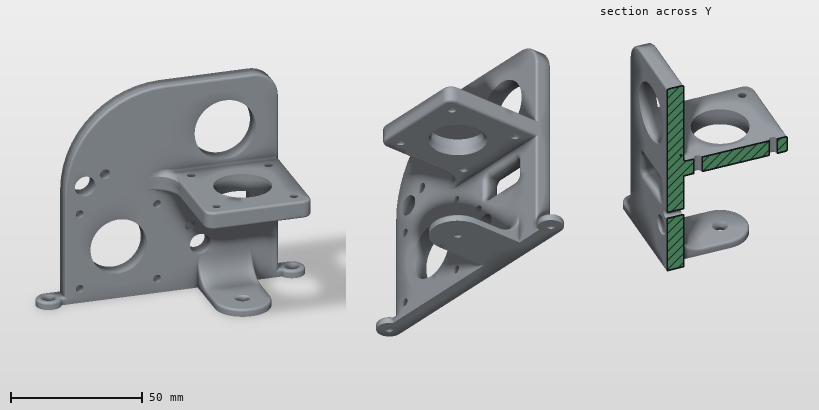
import cadquery as cq
import math

panel = 85.4
thickness = 7.0
edge_round = 1.0
web_radius = 10.0
half = panel / 2
quarter = panel / 4
root_x = thickness / 2

small_corner = 10.0
large_corner = 40.0
bearing_hole = 24.4
motor_hole = 22.4
motor_screw = 3.2
motor_pitch = 31.0
rod_hole = 8.2
clamp_hole = 4.0
rod_pairs = [
    ((-half + 8.0, 48.0), (-half + 16.0, 52.0)),
    ((quarter - 10.0, 18.0), (quarter - 14.0, 26.0)),
]
window_width = 20.0
window_height = 10.0
window_corner = 2.0
window_round = 2.0
window_z = 33.65

shelf_bottom = 42.6
shelf_top = shelf_bottom + thickness
shelf_corner = 4.0
blend_steps = 8
axis_x = thickness + quarter

base_height = 3.0
foot_radius = 11.0
ear_radius = 5.0
ear_reach = 6.0
ear_y = half + ear_reach
screw_hole = 3.0
screw_head = 6.2
head_angle = 90


def arc_point(center, radius, degrees):
    """Point on a circle at the given angle."""
    angle = math.radians(degrees)
    return (center[0] + radius * math.cos(angle), center[1] + radius * math.sin(angle))


def motor_screws(center_u, center_v):
    """Four screw centres on a square around a motor axis."""
    offset = motor_pitch / 2
    return [(center_u + i * offset, center_v + j * offset) for i in (-1, 1) for j in (-1, 1)]


def make_upright():
    """Panel in the YZ plane with two unequal round top corners and rounded edges."""
    large_center = (-half + large_corner, panel - large_corner)
    small_center = (half - small_corner, panel - small_corner)
    body = (
        cq.Workplane("YZ")
        .moveTo(-half, 0)
        .lineTo(half, 0)
        .lineTo(half, small_center[1])
        .threePointArc(arc_point(small_center, small_corner, 45), (small_center[0], panel))
        .lineTo(large_center[0], panel)
        .threePointArc(arc_point(large_center, large_corner, 135), (-half, large_center[1]))
        .close()
        .extrude(thickness)
    )
    rims = body.faces("<X or >X").edges().filter(lambda e: e.Center().z > edge_round)
    return rims.fillet(edge_round)


def make_ear(side):
    """Screw ear that continues the upright beyond its edge; side is +1 or -1 along Y."""
    root_y = half - edge_round
    strip = (
        cq.Workplane("XY", origin=(0, root_y, 0))
        .rect(thickness, ear_y - root_y, centered=False)
        .extrude(base_height)
    )
    boss = cq.Workplane("XY").center(ear_radius, ear_y).circle(ear_radius).extrude(base_height)
    ear = strip.union(boss)
    rim = ear.faces(">Z").edges().filter(lambda e: e.Center().y > root_y + edge_round)
    ear = rim.fillet(edge_round)
    return ear if side > 0 else ear.mirror("XZ")


def make_foot():
    """Round-ended foot that sweeps up into the upright through a large fillet."""
    web_center = (thickness + web_radius, base_height + web_radius)
    tip_x = axis_x + foot_radius
    profile = (
        cq.Workplane("XZ")
        .moveTo(root_x, 0)
        .lineTo(tip_x, 0)
        .lineTo(tip_x, base_height)
        .lineTo(web_center[0], base_height)
        .threePointArc(arc_point(web_center, web_radius, 225), (thickness, web_center[1]))
        .lineTo(root_x, web_center[1])
        .close()
        .extrude(foot_radius, both=True)
    )
    plan = (
        cq.Workplane("XY")
        .moveTo(0, -foot_radius)
        .lineTo(axis_x, -foot_radius)
        .threePointArc((tip_x, 0), (axis_x, foot_radius))
        .lineTo(0, foot_radius)
        .close()
        .extrude(web_center[1])
    )
    foot = profile.intersect(plan)

    def is_rim(middle):
        return middle.x > thickness and middle.z > base_height - edge_round

    rim = foot.edges("not |Y").filter(lambda e: is_rim(e.positionAt(0.5)))
    return rim.fillet(edge_round).translate((0, quarter, 0))


def make_shelf():
    """Motor shelf with rounded outer corners and a curved brace on its Y = 0 side."""
    outer_x = thickness + half
    brace_center = (thickness + web_radius, -web_radius)
    floor = (0, 0, shelf_bottom)
    plate_outline = (
        cq.Workplane("XY", origin=floor)
        .moveTo(root_x, 0)
        .lineTo(outer_x, 0)
        .lineTo(outer_x, half)
        .lineTo(root_x, half)
        .close()
    )
    braced_outline = (
        cq.Workplane("XY", origin=floor)
        .moveTo(root_x, -web_radius)
        .lineTo(thickness, -web_radius)
        .threePointArc(arc_point(brace_center, web_radius, 135), (brace_center[0], 0))
        .lineTo(outer_x, 0)
        .lineTo(outer_x, half)
        .lineTo(root_x, half)
        .close()
    )

    def round_plate(outline, height, rounded_faces):
        plate = outline.extrude(height).edges("|Z and >X").fillet(shelf_corner)
        rims = plate.faces(rounded_faces).edges()
        return rims.filter(lambda e: e.positionAt(0.5).x > thickness).fillet(edge_round)

    body = round_plate(plate_outline, thickness, ">Z or <Z")
    brace = round_plate(braced_outline, thickness - edge_round, "<Z")
    return body.union(brace)


def joint_section(degrees, shelf_leg, upright_leg):
    """Concave fillet section between the rounded shelf edge and the upright.

    The section plane holds the X direction and leans by the given angle from -Y towards +Z
    around the centre line of the shelf edge round. Its local Y points out of the shelf edge.
    """
    lean = math.radians(degrees)
    plane = cq.Plane(
        origin=(thickness, edge_round, shelf_top - edge_round),
        xDir=(1, 0, 0),
        normal=(0, -math.sin(lean), -math.cos(lean)),
    )
    inner_y = edge_round / 2
    return (
        cq.Workplane(plane)
        .moveTo(-edge_round, inner_y)
        .lineTo(shelf_leg, inner_y)
        .lineTo(shelf_leg, edge_round)
        .ellipseArc(shelf_leg, upright_leg, 180, 270, sense=-1)
        .lineTo(-edge_round, edge_round + upright_leg)
        .close()
    )


def make_top_joint():
    """Fillet above the shelf, growing around the shelf edge into the side brace."""
    length = half - 2 * edge_round
    strip = joint_section(90, edge_round, edge_round).extrude(-length)
    growth = web_radius - edge_round
    sections = []
    for step in range(blend_steps + 1):
        share = step / blend_steps
        shelf_leg = edge_round + growth * (1 - share)
        upright_leg = edge_round + growth * (1 - share) ** 3
        sections.append(joint_section(90 * share, shelf_leg, upright_leg).wire().val())
    blend = cq.Workplane(obj=cq.Solid.makeLoft(sections))
    return strip.union(blend)


def is_window_rim(point):
    """True for a point on the window outline."""
    inside_width = abs(point.y - quarter) < window_width / 2 + window_corner
    inside_height = abs(point.z - window_z) < window_height / 2 + window_corner
    return inside_width and inside_height


def cut_window(body):
    """Rectangular window with rounded corners and rounded rims on both faces."""
    window = (
        cq.Workplane("YZ")
        .center(quarter, window_z)
        .rect(window_width, window_height)
        .extrude(thickness)
        .edges("|X")
        .fillet(window_corner)
    )
    body = body.cut(window)
    rims = body.faces("<X or >X").edges().filter(lambda e: is_window_rim(e.Center()))
    return rims.fillet(window_round)


def round_holes(plane, points, diameter):
    """Cutting cylinders of one plate thickness standing on the given plane."""
    return cq.Workplane(plane).pushPoints(points).circle(diameter / 2).extrude(thickness)


def drill_upright(body):
    """Bearing, motor, rod and clamp holes along X."""
    plane = cq.Plane.YZ()
    body = body.cut(round_holes(plane, [(quarter, half + quarter)], bearing_hole))
    body = body.cut(round_holes(plane, [(-quarter, quarter)], motor_hole))
    body = body.cut(round_holes(plane, motor_screws(-quarter, quarter), motor_screw))
    body = body.cut(round_holes(plane, [rod for rod, clamp in rod_pairs], rod_hole))
    return body.cut(round_holes(plane, [clamp for rod, clamp in rod_pairs], clamp_hole))


def drill_shelf(body):
    """Motor opening and its four screw holes along Z."""
    plane = cq.Plane.XY(origin=(0, 0, shelf_bottom))
    body = body.cut(round_holes(plane, [(axis_x, quarter)], motor_hole))
    return body.cut(round_holes(plane, motor_screws(axis_x, quarter), motor_screw))


def drill_base(body):
    """Countersunk screw holes through the foot and both ears."""
    centers = [(axis_x, quarter)] + [(ear_radius, side * ear_y) for side in (-1, 1)]
    return (
        cq.Workplane("XY", origin=(0, 0, base_height))
        .add(body.findSolid())
        .pushPoints(centers)
        .cskHole(screw_hole, screw_head, head_angle, base_height)
    )


upright = drill_upright(cut_window(make_upright()))
shelf = drill_shelf(make_shelf().union(make_top_joint()))
result = upright.union(shelf).union(make_foot())
for ear_side in (-1, 1):
    result = result.union(make_ear(ear_side))
result = drill_base(result)